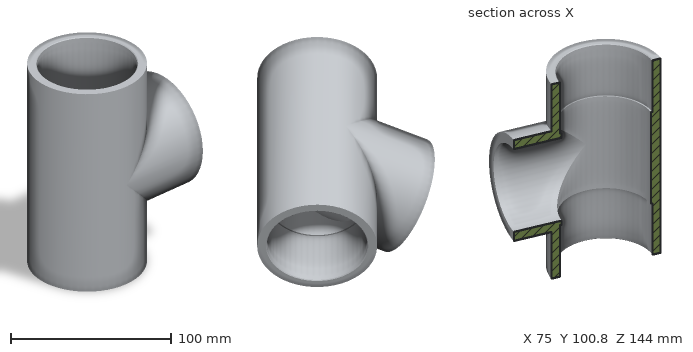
import cadquery as cq

outer_diameter = 75.0
bore_diameter = 61.0
run_length = 144.0
branch_reach = 63.3

socket_diameter = 63.0
socket_depth = 38.0
socket_chamfer = 0.5


def run_cylinder(diameter):
    """Full-length cylinder along the run axis."""
    return cq.Workplane("XY").circle(diameter / 2).extrude(run_length / 2, both=True)


def branch_cylinder(diameter):
    """Cylinder from the run axis out to the branch end face at +Y."""
    return cq.Workplane("XZ").circle(diameter / 2).extrude(-branch_reach)


def socket_cutter(end):
    """Socket with a chamfered mouth; end is +1 for the top and -1 for the bottom."""
    socket_radius = socket_diameter / 2
    mouth_radius = socket_radius + socket_chamfer
    mouth_z = end * run_length / 2
    chamfer_z = end * (run_length / 2 - socket_chamfer)
    shoulder_z = end * (run_length / 2 - socket_depth)
    half_profile = [
        (0, mouth_z),
        (mouth_radius, mouth_z),
        (socket_radius, chamfer_z),
        (socket_radius, shoulder_z),
        (0, shoulder_z),
    ]
    return cq.Workplane("XZ").polyline(half_profile).close().revolve(360, (0, 0), (0, 1))


def make_tee():
    """Hollow tee body with a socket at each end of the run."""
    body = run_cylinder(outer_diameter).union(branch_cylinder(outer_diameter))
    body = body.cut(run_cylinder(bore_diameter)).cut(branch_cylinder(bore_diameter))
    for end in (1, -1):
        body = body.cut(socket_cutter(end))
    return body


tee = make_tee()

result = cq.Compound.makeCompound([tee.solids().val()])